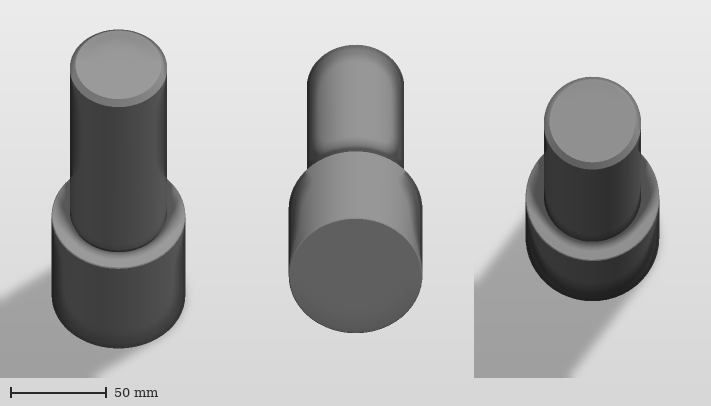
import cadquery as cq

head_diameter = 70.0
head_height = 70.0
shank_diameter = 51.0
total_height = 200.0
neck_diameter = 49.0
neck_height = 3.0
tip_chamfer = 3.0
head_chamfer = 0.5


def make_head():
    """Cylindrical head with both rims lightly chamfered."""
    return (
        cq.Workplane("XY")
        .circle(head_diameter / 2)
        .extrude(head_height)
        .edges()
        .chamfer(head_chamfer)
    )


def make_neck():
    """Relief neck between the head and the shank."""
    return (
        cq.Workplane("XY")
        .workplane(offset=head_height)
        .circle(neck_diameter / 2)
        .extrude(neck_height)
    )


def make_shank():
    """Plain shank with a chamfered free end."""
    shank_base = head_height + neck_height
    return (
        cq.Workplane("XY")
        .workplane(offset=shank_base)
        .circle(shank_diameter / 2)
        .extrude(total_height - shank_base)
        .faces(">Z")
        .edges()
        .chamfer(tip_chamfer)
    )


result = make_head().union(make_neck()).union(make_shank())